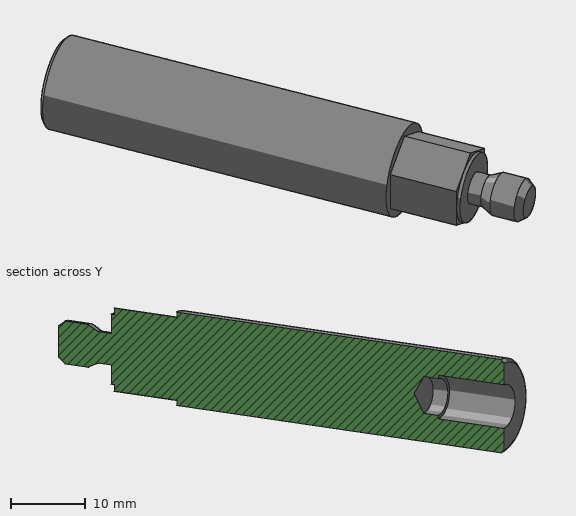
import cadquery as cq
import math

total_length = 68.0
body_length = 50.0
hex_length = 9.5
collar_length = 0.5
neck_length = 1.9
cone_length = 1.6

x_start = -total_length / 2
x_body_end = x_start + body_length
x_hex_end = x_body_end + hex_length
x_collar_end = x_hex_end + collar_length
x_neck_end = x_collar_end + neck_length
x_cone_end = x_neck_end + cone_length
x_end = total_length / 2

body_diameter = 13.0
body_chamfer = 0.5
hex_across_flats = 10.0
collar_diameter = 9.7
neck_diameter = 4.4
stud_diameter = 6.0
stud_chamfer_length = 1.0

thread_diameter = stud_diameter
thread_depth = 10.0
drill_diameter = 5.0
drill_depth = 12.25
drill_point_angle = 120.0


def revolve_profile(points):
    """Revolve a closed (x, radius) outline about the X axis."""
    return cq.Workplane("XY").polyline(points).close().revolve(360, (0, 0, 0), (1, 0, 0))


def make_body():
    body = cq.Workplane("YZ", origin=(x_start, 0, 0)).circle(body_diameter / 2).extrude(body_length)
    return body.faces("<X").chamfer(body_chamfer)


def make_hexagon():
    """Wrench hexagon with flats facing Y and corners pointing along Z."""
    across_corners = hex_across_flats / math.cos(math.radians(30))
    return (
        cq.Workplane("YZ", origin=(x_body_end, 0, 0))
        .transformed(rotate=(0, 0, 90))
        .polygon(6, across_corners)
        .extrude(hex_length)
    )


def make_stud():
    """Collar, undercut neck and chamfered stud on the hexagon's end face."""
    collar_radius = collar_diameter / 2
    neck_radius = neck_diameter / 2
    stud_radius = stud_diameter / 2
    return revolve_profile([
        (x_hex_end, 0),
        (x_hex_end, collar_radius),
        (x_collar_end, collar_radius),
        (x_collar_end, neck_radius),
        (x_neck_end, neck_radius),
        (x_cone_end, stud_radius),
        (x_end - stud_chamfer_length, stud_radius),
        (x_end, neck_radius),
        (x_end, 0),
    ])


def make_hole():
    thread_radius = thread_diameter / 2
    drill_radius = drill_diameter / 2
    point_length = drill_radius / math.tan(math.radians(drill_point_angle / 2))
    return revolve_profile([
        (x_start, 0),
        (x_start, thread_radius),
        (x_start + thread_depth, thread_radius),
        (x_start + thread_depth, drill_radius),
        (x_start + drill_depth, drill_radius),
        (x_start + drill_depth + point_length, 0),
    ])


result = make_body().union(make_hexagon()).union(make_stud()).cut(make_hole())